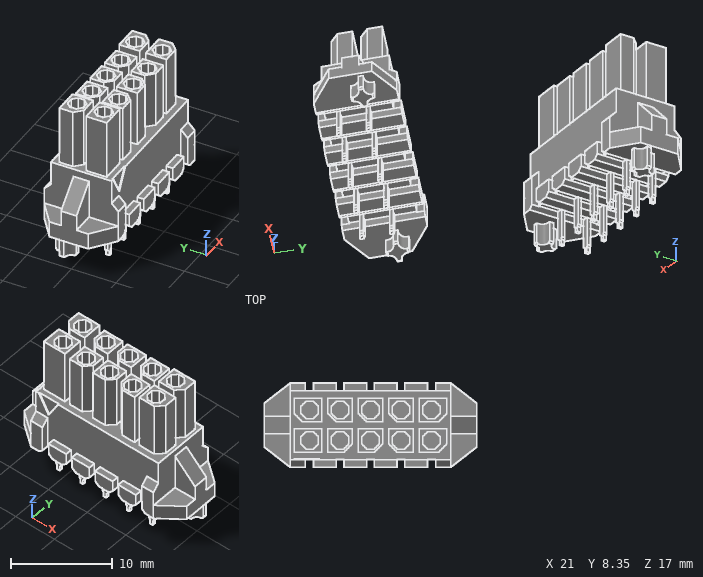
import cadquery as cq
import math


pitch = 3.0
columns = 5
column_xs = [pitch * (i - (columns - 1) / 2) for i in range(columns)]
row_ys = [-pitch / 2, pitch / 2]

overall_length = 21
overall_width = 8.35
body_length = 15.83
body_width = 6.82
body_height = 7.01

pin_gap = 0.74
gap_height = 0.45
gap_flare = 0.48
tab_height = 1.8
tab_width = pitch - pin_gap
side_projection = (overall_width - body_width) / 2
post_width = 1.5
post_height = 4.33

ear_length = (overall_length - body_length) / 2
ear_tip_width = 4.35
ear_thickness = tab_height
gusset_width = 1.75
gusset_outer_height = 3.55

silo_width = 2.4
silo_depth = 2.3
silo_height = 6.22
end_silo_width = 2.73
end_silo_height = 6.55
silo_chamfer = 0.8
socket_across_flats = 1.72
socket_depth = silo_height

marker_width = 2.5
marker_height = 2.2
marker_depth = 0.1
marker_x = -6.3

peg_x = 9.0
peg_y = 0.99
peg_span = 2.33
peg_arm_width = 0.48
peg_length = 2.33
peg_chamfer = 0.19

pin_width = pin_gap
pin_thickness = 0.38
pin_bow = 0.06
pin_front_offset = 0.74
pin_x_offset = -0.02
pin_bottom = -3.45
tip_width = 0.35
shoulder_top = -2.73
shoulder_bottom = shoulder_top - (pin_width - tip_width) / 2


def block(length, width, height, x, y, z=0):
    """Box centred on (x, y) with its underside at z."""
    return cq.Workplane("XY").box(length, width, height, (True, True, False)).translate((x, y, z))


def mirrored_in_x(shape):
    return shape.union(shape.mirror("YZ"))


def rotated(point, angle):
    """Point turned about the origin, angle in radians."""
    x, y = point
    return (x * math.cos(angle) - y * math.sin(angle), x * math.sin(angle) + y * math.cos(angle))


def corner_post(x_side, y_side):
    """Post at a housing corner whose top slopes up to the side wall at 45 degrees."""
    outer_y = y_side * overall_width / 2
    wall_y = y_side * body_width / 2
    profile = [
        (0, 0),
        (outer_y, 0),
        (outer_y, post_height - side_projection),
        (wall_y, post_height),
        (0, post_height),
    ]
    post = cq.Workplane("YZ").polyline(profile).close().extrude(post_width / 2, both=True)
    return post.translate((x_side * (body_length - post_width) / 2, 0, 0))


def underside_gap(x):
    """Trapezoidal channel across the underside that clears one column of pins."""
    top = pin_gap / 2
    bottom = top + gap_flare
    profile = [(-bottom, 0), (bottom, 0), (top, gap_height), (-top, gap_height)]
    channel = cq.Workplane("XZ").polyline(profile).close().extrude(overall_width / 2, both=True)
    return channel.translate((x, 0, 0))


def housing():
    shape = block(body_length, body_width, body_height, 0, 0)
    for left_x, right_x in zip(column_xs, column_xs[1:]):
        shape = shape.union(block(tab_width, overall_width, tab_height, (left_x + right_x) / 2, 0))
    for x_side in (-1, 1):
        for y_side in (-1, 1):
            shape = shape.union(corner_post(x_side, y_side))
    for x in column_xs:
        shape = shape.cut(underside_gap(x))
    return shape


def ear():
    """Tapered mounting ear at the +X end with a sloped gusset above it."""
    inner_x = body_length / 2
    outer_x = overall_length / 2
    plate = (
        cq.Workplane("XY")
        .polyline([
            (inner_x, -overall_width / 2),
            (outer_x, -ear_tip_width / 2),
            (outer_x, ear_tip_width / 2),
            (inner_x, overall_width / 2),
        ])
        .close()
        .extrude(ear_thickness)
    )
    gusset = (
        cq.Workplane("XZ")
        .polyline([
            (inner_x, 0),
            (outer_x, 0),
            (outer_x, gusset_outer_height),
            (inner_x, gusset_outer_height + ear_length),
        ])
        .close()
        .extrude(gusset_width / 2, both=True)
    )
    return plate.union(gusset)


def silo(column, row, chamfered_corner):
    """Silo with a blind octagonal socket.

    The chamfered corner is on the -Y side: 'left', 'right' or None.
    """
    x = column_xs[column]
    y = row_ys[row]
    width = silo_width
    height = silo_height
    centre_x = x
    if column in (0, columns - 1):
        width = end_silo_width
        height = end_silo_height
        centre_x += math.copysign((end_silo_width - silo_width) / 2, x)
    shape = block(width, silo_depth, height, centre_x, y, body_height)
    if chamfered_corner == "left":
        shape = shape.edges("|Z and <X and <Y").chamfer(silo_chamfer)
    elif chamfered_corner == "right":
        shape = shape.edges("|Z and >X and <Y").chamfer(silo_chamfer)
    socket_floor = body_height + height - socket_depth
    socket = block(socket_across_flats, socket_across_flats, socket_depth, x, y, socket_floor)
    socket = socket.edges("|Z").chamfer(socket_across_flats / (2 + math.sqrt(2)))
    return shape.cut(socket)


def marker():
    """Triangular recess in the front wall, pointing down from the top edge."""
    return (
        cq.Workplane("XZ", origin=(marker_x, -body_width / 2 + marker_depth, body_height))
        .polyline([(-marker_width / 2, 0), (marker_width / 2, 0), (0, -marker_height)])
        .close()
        .extrude(marker_depth)
    )


def peg():
    """Peg under the +X ear; each flank between two arms is a quarter-circle hollow."""
    tip = peg_span / 2
    side = peg_arm_width / 2
    hollow_end = tip - peg_chamfer
    hollow_middle = hollow_end - (hollow_end - side) * math.sqrt(0.5)
    outline = cq.Workplane("XY").moveTo(tip, -side)
    for turn in range(4):
        angle = math.radians(90 * turn)
        points = [
            (tip, side),
            (hollow_end, side),
            (hollow_middle, hollow_middle),
            (side, hollow_end),
            (side, tip),
        ]
        tip_edge, start, middle, end, next_tip = [rotated(point, angle) for point in points]
        outline = outline.lineTo(*tip_edge).lineTo(*start).threePointArc(middle, end).lineTo(*next_tip)
    shape = outline.close().extrude(-peg_length)
    envelope = cq.Workplane("XY").rect(peg_span, peg_span).extrude(-peg_length)
    envelope = envelope.faces("<Z").chamfer(peg_chamfer)
    return shape.intersect(envelope).translate((peg_x, peg_y, 0))


def pin(column_x, row_y):
    """Bowed strip with 45 degree shoulders that narrow it to the tip."""
    half = pin_width / 2
    front_y = -pin_front_offset
    back_y = front_y + pin_thickness
    strip = (
        cq.Workplane("XY", origin=(0, 0, pin_bottom))
        .moveTo(-half, front_y + pin_bow)
        .threePointArc((0, front_y), (half, front_y + pin_bow))
        .lineTo(half, back_y + pin_bow)
        .threePointArc((0, back_y), (-half, back_y + pin_bow))
        .close()
        .extrude(gap_height - pin_bottom)
    )
    silhouette = (
        cq.Workplane("XZ")
        .polyline([
            (-half, gap_height),
            (half, gap_height),
            (half, shoulder_top),
            (tip_width / 2, shoulder_bottom),
            (tip_width / 2, pin_bottom),
            (-tip_width / 2, pin_bottom),
            (-tip_width / 2, shoulder_bottom),
            (-half, shoulder_top),
        ])
        .close()
        .extrude(pin_front_offset)
    )
    return strip.intersect(silhouette).translate((column_x + pin_x_offset, row_y, 0))


keying = [
    [None, "right", "right", "left", "right"],
    ["left", "left", "left", "left", "right"],
]

result = housing().union(mirrored_in_x(ear())).cut(marker())
result = result.union(mirrored_in_x(peg()))
for row, corners in enumerate(keying):
    for column, corner in enumerate(corners):
        result = result.union(silo(column, row, corner))
        result = result.union(pin(column_xs[column], row_ys[row]))